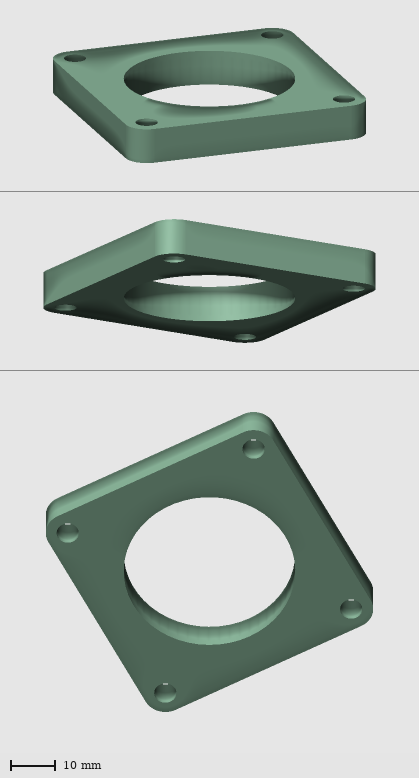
import cadquery as cq

plate_side = 57.0
plate_thickness = 8.0
corner_radius = 5.0

bore_diameter = 38.5
screw_hole_diameter = 5.0
screw_hole_spacing = 47.1


def make_plate():
    """Square plate with rounded vertical corners, centred on the origin in X and Y."""
    plate = cq.Workplane("XY").box(plate_side, plate_side, plate_thickness, centered=(True, True, False))
    return plate.edges("|Z").fillet(corner_radius)


def cut_bore(plate):
    """Central through bore."""
    return plate.faces(">Z").workplane(origin=(0, 0, 0)).hole(bore_diameter)


def cut_screw_holes(plate):
    """Four through holes on a square pattern."""
    top_plane = plate.faces(">Z").workplane(origin=(0, 0, 0))
    pattern = top_plane.rarray(screw_hole_spacing, screw_hole_spacing, 2, 2)
    return pattern.hole(screw_hole_diameter)


result = cut_screw_holes(cut_bore(make_plate()))